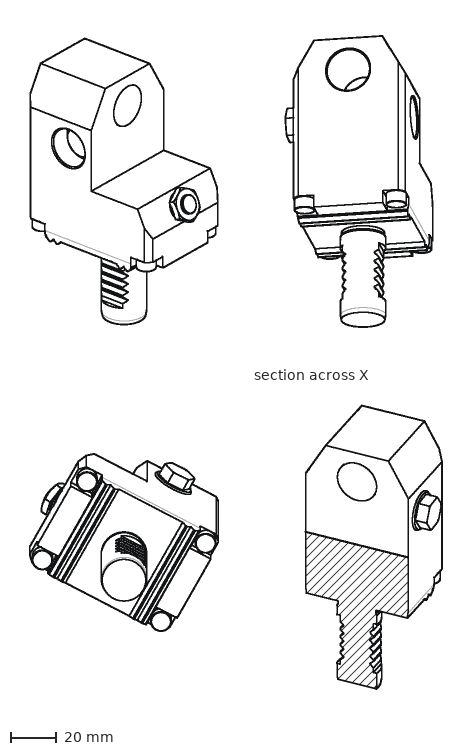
import cadquery as cq
import math


body_length = 70.0
body_depth = 50.0
body_top = 78.5
tower_right = 2.0
step_height = 31.5
corner_chamfer = 2.6
roof_width = 30.5
roof_height = 16.9
slope_run = 6.5
slope_drop = 13.7

end_relief = 0.7
plate_length = 48.3
bevel_height = 3.2
bevel_width = 0.7
plate_bottom = -1.8
pocket_length = 10.5
pocket_depth = 9.5
pocket_top = 6.3
rack_pitch = 4.0
rack_valley = 20.0
rack_tip = 0.7

screw_diameter = 8.9
screw_x = 29.6
screw_y = 20.5
screw_bottom = 1.3
screw_chamfer = 0.2

shank_diameter = 20.0
shank_length = 40.5
shank_chamfer_height = 2.1
shank_end_diameter = 19.2
neck_diameter = 19.0
neck_length = 1.4
shoulder_height = 0.8
flat_offset = 8.1
flat_top = -7.1
flat_bottom = -32.1
groove_count = 5
groove_first = -12.0
groove_pitch = 4.0
groove_depth = 1.7

bore_diameter = 19.0
bore_height = 63.8
bore_chamfer = 0.5

clamp_x = -11.0
clamp_z = 48.4
clamp_mouth_diameter = 19.2
clamp_hole_diameter = 18.0
clamp_tip_diameter = 14.0
clamp_tip_depth = 7.9
clamp_cone_length = 2.0
flange_diameter = 18.0
flange_top_diameter = 16.9
flange_thickness = 0.8
head_corners = 15.1
head_height = 5.5
head_turn = -5
head_chamfer = 0.4

collar_diameter = 12.6
collar_thickness = 1.7
collar_chamfer = 0.5
nut_corners = 16.2
nut_height = 3.2
nut_chamfer_height = 0.6
nut_drop = 7.3
stud_diameter = 8.5
stud_end_diameter = 8.0
stud_length = 6.1

hex_sides = 6
half_length = body_length / 2
half_depth = body_depth / 2


def make_body():
    side = (
        cq.Workplane("XZ", origin=(0, half_depth, 0))
        .moveTo(-half_length, 0)
        .lineTo(-half_length, body_top)
        .lineTo(tower_right, body_top)
        .lineTo(tower_right, step_height)
        .lineTo(half_length - slope_run, step_height)
        .lineTo(half_length, step_height - slope_drop)
        .lineTo(half_length, 0)
    )
    for rack_center in (rack_valley, -rack_valley):
        side = side.lineTo(rack_center + rack_pitch, 0)
        for tip_x in (rack_center + rack_pitch / 2, rack_center - rack_pitch / 2):
            side = (
                side.lineTo(tip_x + rack_tip / 2, plate_bottom)
                .lineTo(tip_x - rack_tip / 2, plate_bottom)
                .lineTo(tip_x - rack_pitch / 2, 0)
            )
    side = side.close().extrude(body_depth)
    end = (
        cq.Workplane("YZ", origin=(-half_length, 0, 0))
        .moveTo(-half_depth + bevel_width, plate_bottom)
        .lineTo(-half_depth, bevel_height)
        .lineTo(-half_depth, body_top - roof_height)
        .lineTo(-roof_width / 2, body_top)
        .lineTo(roof_width / 2, body_top)
        .lineTo(half_depth, body_top - roof_height)
        .lineTo(half_depth, bevel_height)
        .lineTo(half_depth - bevel_width, plate_bottom)
        .close()
        .extrude(body_length)
    )
    plan = (
        cq.Workplane("XY", origin=(0, 0, plate_bottom))
        .rect(body_length, body_depth)
        .extrude(body_top - plate_bottom)
        .edges("|Z")
        .chamfer(corner_chamfer)
    )
    return side.intersect(end).intersect(plan)


def cut_underside(body):
    relief_length = (body_length - plate_length) / 2
    for side in (-1, 1):
        relief_x = side * (half_length - relief_length / 2)
        body = body.cut(
            cq.Workplane("XY", origin=(relief_x, 0, 0)).rect(relief_length, body_depth).extrude(end_relief)
        )
        for end in (-1, 1):
            center = (side * (half_length - pocket_length / 2), end * (half_depth - pocket_depth / 2), 0)
            body = body.cut(
                cq.Workplane("XY", origin=center).rect(pocket_length, pocket_depth).extrude(pocket_top)
            )
    return body


def make_screw(x, y):
    return (
        cq.Workplane("XY", origin=(x, y, screw_bottom))
        .circle(screw_diameter / 2)
        .extrude(pocket_top - screw_bottom)
        .faces("<Z")
        .chamfer(screw_chamfer)
    )


def make_shank():
    radius = shank_diameter / 2
    shank = (
        cq.Workplane("XZ")
        .lineTo(neck_diameter / 2, 0)
        .lineTo(neck_diameter / 2, -neck_length)
        .lineTo(shank_end_diameter / 2, -neck_length)
        .lineTo(radius, -neck_length - shoulder_height)
        .lineTo(radius, -shank_length + shank_chamfer_height)
        .lineTo(shank_end_diameter / 2, -shank_length)
        .lineTo(0, -shank_length)
        .close()
        .revolve(360, (0, 0, 0), (0, 1, 0))
    )
    cutter = (
        cq.Workplane("YZ", origin=(-radius, 0, 0))
        .moveTo(-radius, flat_top)
        .lineTo(-flat_offset, flat_top)
    )
    for index in range(groove_count):
        z = groove_first - index * groove_pitch
        cutter = (
            cutter.lineTo(-flat_offset, z + groove_depth)
            .lineTo(-flat_offset + groove_depth, z)
            .lineTo(-flat_offset, z - groove_depth)
        )
    cutter = (
        cutter.lineTo(-flat_offset, flat_bottom)
        .lineTo(-radius, flat_bottom)
        .close()
        .extrude(shank_diameter)
    )
    return shank.cut(cutter).cut(cutter.mirror("XZ"))


def make_tool_bore():
    mouth = bore_diameter / 2 + bore_chamfer
    bore_length = half_length + tower_right
    entry = cq.Workplane("YZ", origin=(-half_length, 0, bore_height))
    bore = entry.circle(bore_diameter / 2).extrude(bore_length)
    flare = (
        cq.Workplane("YZ", origin=entry.plane.origin)
        .circle(mouth)
        .workplane(offset=bore_chamfer)
        .circle(bore_diameter / 2)
        .loft()
    )
    return bore.union(flare)


def make_clamp_hole():
    mouth_depth = (clamp_mouth_diameter - clamp_hole_diameter) / 2
    return (
        cq.Workplane("XY")
        .lineTo(clamp_mouth_diameter / 2, 0)
        .lineTo(clamp_hole_diameter / 2, mouth_depth)
        .lineTo(clamp_hole_diameter / 2, clamp_tip_depth + clamp_cone_length)
        .lineTo(clamp_tip_diameter / 2, clamp_tip_depth)
        .lineTo(0, clamp_tip_depth)
        .close()
        .revolve(360, (0, 0, 0), (0, 1, 0))
        .translate((clamp_x, -half_depth, clamp_z))
    )


def make_clamp_bolt():
    flange = (
        cq.Workplane("XY")
        .lineTo(flange_diameter / 2, 0)
        .lineTo(flange_top_diameter / 2, flange_thickness)
        .lineTo(0, flange_thickness)
        .close()
        .revolve(360, (0, 0, 0), (0, 1, 0))
    )
    head = (
        cq.Workplane("XZ")
        .polygon(hex_sides, head_corners)
        .extrude(-head_height)
        .rotate((0, 0, 0), (0, 1, 0), -head_turn)
    )
    rounding = (
        cq.Workplane("XZ")
        .circle(head_corners / 2)
        .extrude(-head_height)
        .faces(">Y")
        .chamfer(head_chamfer)
    )
    head = head.intersect(rounding).translate((0, flange_thickness, 0))
    return flange.union(head).translate((clamp_x, half_depth, clamp_z))


def make_slope_nut():
    tip = 90 - math.degrees(math.atan2(slope_run, slope_drop))
    collar = (
        cq.Workplane("XY")
        .circle(collar_diameter / 2)
        .extrude(collar_thickness)
        .faces(">Z")
        .chamfer(collar_chamfer)
    )
    hexagon = cq.Workplane("XY").polygon(hex_sides, nut_corners).extrude(nut_height)
    nut_flats = nut_corners * math.cos(math.pi / hex_sides)
    rounding = (
        cq.Workplane("XY")
        .circle(nut_corners / 2)
        .extrude(nut_height)
        .faces(">Z")
        .chamfer(nut_chamfer_height, (nut_corners - nut_flats) / 2)
    )
    nut = hexagon.intersect(rounding).translate((0, 0, collar_thickness))
    stud = (
        cq.Workplane("XY")
        .circle(stud_diameter / 2)
        .extrude(stud_length)
        .faces(">Z")
        .chamfer((stud_diameter - stud_end_diameter) / 2)
    )
    seat = (half_length - slope_run + slope_run * nut_drop / slope_drop, 0, step_height - nut_drop)
    return collar.union(nut).union(stud).rotate((0, 0, 0), (0, 1, 0), tip).translate(seat)


result = cut_underside(make_body()).union(make_shank())
for x in (-screw_x, screw_x):
    for y in (-screw_y, screw_y):
        result = result.union(make_screw(x, y))
result = result.cut(make_tool_bore()).cut(make_clamp_hole())
result = result.union(make_clamp_bolt()).union(make_slope_nut())